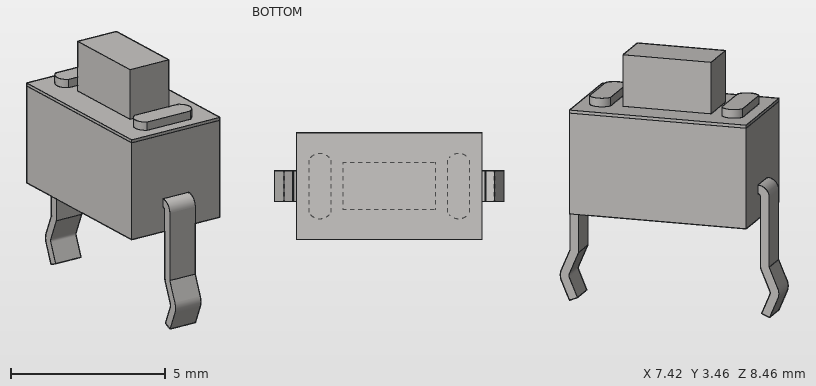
import cadquery as cq
import math

total_height = 8.46
total_length = 7.42

body_length = 6.0
body_width = 3.46
housing_bottom = 3.26
cover_thickness = 0.1
cover_top = 6.73
cover_bottom = cover_top - cover_thickness

button_length = 2.995
button_width = 1.52

peg_height = 0.29
peg_width = 0.71
peg_straight = 1.69
peg_end_bulge = 0.21
peg_offset = 2.24

lead_width = 1.0
lead_thickness = 0.3
lead_lean = math.radians(23)
elbow_outer_radius = 0.45
shank_outer_x = 3.38
elbow_height = 0.83
lead_top = 4.41


def make_block(length, width, bottom, top):
    """Box centred on X and Y between two heights."""
    return cq.Workplane("XY").workplane(offset=bottom).rect(length, width).extrude(top - bottom)


def make_peg(center_x):
    """Locating peg with arc ends, standing on the cover."""
    half_width = peg_width / 2
    half_straight = peg_straight / 2
    tip = half_straight + peg_end_bulge
    return (
        cq.Workplane("XY", origin=(center_x, 0, cover_top))
        .moveTo(-half_width, -half_straight)
        .threePointArc((0, -tip), (half_width, -half_straight))
        .lineTo(half_width, half_straight)
        .threePointArc((0, tip), (-half_width, half_straight))
        .close()
        .extrude(peg_height)
    )


def make_left_lead():
    """Bent lead on the -X side, its quarter-round top bend ending on the housing wall."""
    lean_sin = math.sin(lead_lean)
    lean_cos = math.cos(lead_lean)
    lean_tan = math.tan(lead_lean)

    elbow_x = -total_length / 2 - elbow_outer_radius * (1 / lean_cos - 1)
    shank_x = -shank_outer_x
    tip_x = elbow_x + elbow_height * lean_tan
    knee_height = elbow_height + (shank_x - elbow_x) / lean_tan
    wall_x = -body_length / 2
    bend_outer_radius = wall_x - shank_x

    inner_shank_x = shank_x + lead_thickness
    inner_elbow_x = elbow_x + lead_thickness / lean_cos
    inner_knee_height = knee_height - lead_thickness * math.tan(lead_lean / 2)
    lead_underside = lead_top - lead_thickness

    bend_inner_radius = bend_outer_radius - lead_thickness
    bend_base = lead_top - bend_outer_radius
    mid_sin = math.sin(math.pi / 4)
    outer_mid = (wall_x - bend_outer_radius * mid_sin, bend_base + bend_outer_radius * mid_sin)
    inner_mid = (wall_x - bend_inner_radius * mid_sin, bend_base + bend_inner_radius * mid_sin)

    outer_elbow = (elbow_x, elbow_height)
    inner_elbow = (inner_elbow_x, elbow_height)
    lead = (
        cq.Workplane("XZ")
        .moveTo(tip_x, 0)
        .lineTo(*outer_elbow)
        .lineTo(shank_x, knee_height)
        .lineTo(shank_x, bend_base)
        .threePointArc(outer_mid, (wall_x, lead_top))
        .lineTo(wall_x, lead_underside)
        .threePointArc(inner_mid, (inner_shank_x, bend_base))
        .lineTo(inner_shank_x, inner_knee_height)
        .lineTo(*inner_elbow)
        .lineTo(tip_x + lead_thickness * lean_cos, lead_thickness * lean_sin)
        .close()
        .extrude(lead_width / 2, both=True)
    )

    roundings = [
        (outer_elbow, elbow_outer_radius),
        (inner_elbow, elbow_outer_radius - lead_thickness),
    ]
    for (x, z), radius in roundings:
        lead = lead.edges(cq.selectors.NearestToPointSelector((x, 0, z))).fillet(radius)
    return lead


button = make_block(button_length, button_width, cover_top, total_height)
cover = make_block(body_length, body_width, cover_bottom, cover_top)
pegs = [make_peg(side * peg_offset) for side in (-1, 1)]

left_lead = make_left_lead()
leads = [left_lead.rotate((0, 0, 0), (0, 0, 1), angle) for angle in (0, 180)]

housing = make_block(body_length, body_width, housing_bottom, cover_bottom)

result = cq.Compound.makeCompound(
    [housing.val(), cover.val(), button.val()]
    + [peg.val() for peg in pegs]
    + [lead.solids().val() for lead in leads]
)